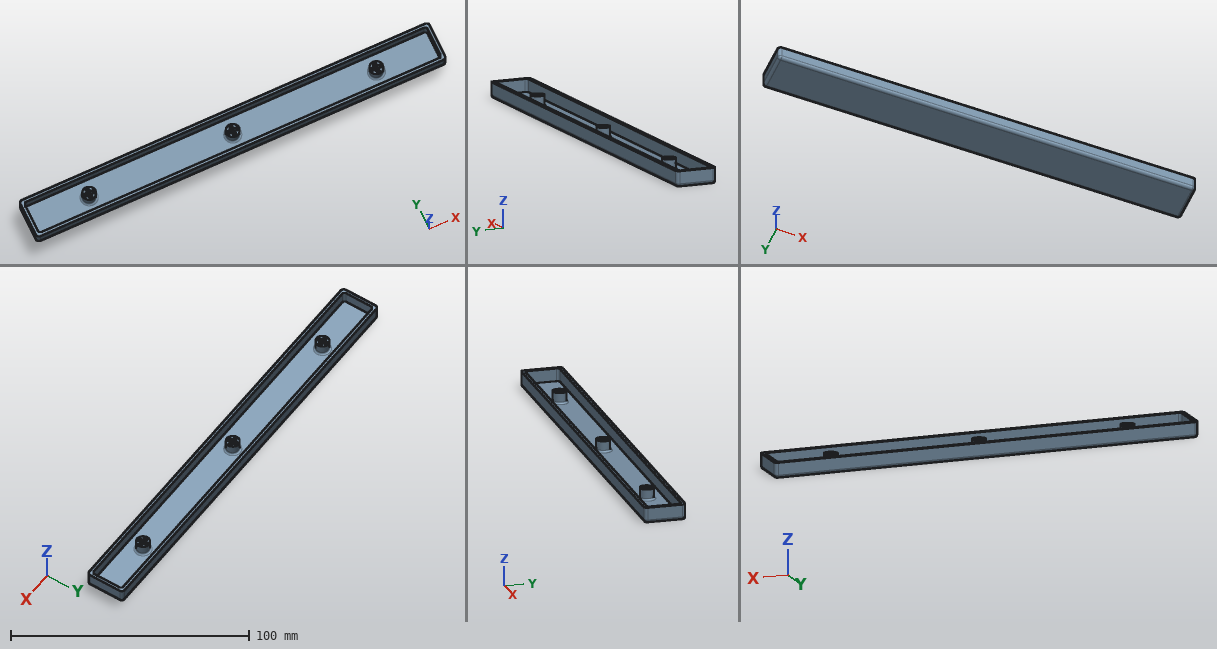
import cadquery as cq

LENGTH = 189.5
WIDTH = 18.0
HEIGHT = 6.8
WALL = 1.5
FLOOR = 1.23
CORNER_RADIUS = 1.42
BOTTOM_RADIUS = 1.42
INNER_CORNER_RADIUS = 1.1

STEM_DIAMETER = 5.9
STEM_SPACING = 66.5
STEM_TOP_GAP = 0.8
FOOT_RADIUS = 0.85
SOCKET_SPAN = 4.0
SOCKET_SLOT_WIDTH = 1.3

STEM_HEIGHT = HEIGHT - FLOOR - STEM_TOP_GAP


def make_tray():
    body = cq.Workplane("XY").box(LENGTH, WIDTH, HEIGHT, centered=(True, True, False))
    body = body.edges("|Z").fillet(CORNER_RADIUS)
    body = body.faces("<Z").edges().fillet(BOTTOM_RADIUS)
    cavity = (
        cq.Workplane("XY")
        .workplane(offset=FLOOR)
        .rect(LENGTH - 2 * WALL, WIDTH - 2 * WALL)
        .extrude(HEIGHT - FLOOR)
        .edges("|Z")
        .fillet(INNER_CORNER_RADIUS)
    )
    return body.cut(cavity)


def make_stem():
    """Post standing on Z = 0, with a concave fillet flaring its foot."""
    radius = STEM_DIAMETER / 2
    arc_offset = FOOT_RADIUS * (1 - 0.5**0.5)
    return (
        cq.Workplane("XZ")
        .lineTo(radius + FOOT_RADIUS, 0)
        .threePointArc((radius + arc_offset, arc_offset), (radius, FOOT_RADIUS))
        .lineTo(radius, STEM_HEIGHT)
        .lineTo(0, STEM_HEIGHT)
        .close()
        .revolve(360, (0, 0, 0), (0, 1, 0))
    )


def make_socket():
    """Cross-shaped cutter as tall as the stem."""
    along_x = cq.Workplane("XY").rect(SOCKET_SPAN, SOCKET_SLOT_WIDTH).extrude(STEM_HEIGHT)
    along_y = cq.Workplane("XY").rect(SOCKET_SLOT_WIDTH, SOCKET_SPAN).extrude(STEM_HEIGHT)
    return along_x.union(along_y)


result = make_tray()
stem = make_stem().cut(make_socket())
for stem_x in (-STEM_SPACING, 0, STEM_SPACING):
    result = result.union(stem.translate((stem_x, 0, FLOOR)))